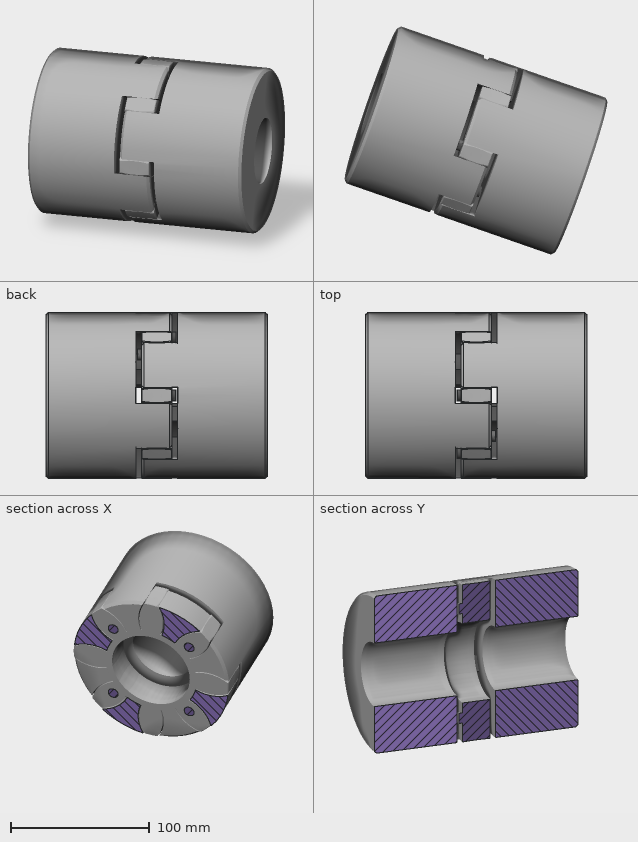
import cadquery as cq
import math

length = 160.0
outer_radius = 60.0
bore_radius = 24.0
edge_chamfer = 2.0

spider_width = 22.0
face_gap = 4.0
claws_per_hub = 4
claw_inner_radius = 35.2
spider_hole_radius = 30.0

flank_radius = 29.3
flank_distance = 44.6
arm_half_thickness = 10.0
crown = 0.8
arm_edge_chamfer = 0.5

knob_radius = 4.0
knob_distance = 41.6
knob_height = 2.7

half_length = length / 2
spider_face = spider_width / 2
hub_face = spider_face + face_gap
arm_count = 2 * claws_per_hub
arm_pitch = 360 / arm_count
claw_pitch = 360 / claws_per_hub
flank_offset = arm_half_thickness - flank_radius


def disc(radius, start_x, end_x):
    """Cylinder on the X axis between two X positions."""
    return cq.Workplane("YZ", origin=(start_x, 0, 0)).circle(radius).extrude(end_x - start_x)


def polar(radius, angle):
    """Point in the YZ plane, with the angle in degrees measured from +Y toward +Z."""
    turn = math.radians(angle)
    return (radius * math.cos(turn), radius * math.sin(turn))


def flank_angle(radius):
    """Angle between an arm's centre line and the point of its side at the given radius."""
    centre_distance = math.hypot(flank_distance, flank_offset)
    centre_angle = math.atan2(flank_offset, flank_distance)
    cosine = (radius**2 + centre_distance**2 - flank_radius**2) / (2 * radius * centre_distance)
    return math.degrees(centre_angle + math.acos(cosine))


def claw():
    """Claw between the arms at 0 and at one arm pitch, with hollow round sides."""
    middle_radius = (claw_inner_radius + outer_radius) / 2
    outer_angle = flank_angle(outer_radius)
    middle_angle = flank_angle(middle_radius)
    inner_angle = flank_angle(claw_inner_radius)
    return (
        cq.Workplane("YZ", origin=(-hub_face, 0, 0))
        .moveTo(*polar(outer_radius, outer_angle))
        .threePointArc(
            polar(outer_radius, arm_pitch / 2),
            polar(outer_radius, arm_pitch - outer_angle),
        )
        .threePointArc(
            polar(middle_radius, arm_pitch - middle_angle),
            polar(claw_inner_radius, arm_pitch - inner_angle),
        )
        .threePointArc(
            polar(claw_inner_radius, arm_pitch / 2),
            polar(claw_inner_radius, inner_angle),
        )
        .threePointArc(
            polar(middle_radius, middle_angle),
            polar(outer_radius, outer_angle),
        )
        .close()
        .extrude(hub_face + spider_face)
    )


def make_hub():
    """Hub on the -X side: a chamfered, bored cylinder cleared between its claws."""
    blank = disc(outer_radius, -half_length, spider_face).edges().chamfer(edge_chamfer)
    clearance = disc(outer_radius, -hub_face, spider_face)
    for index in range(claws_per_hub):
        clearance = clearance.cut(claw().rotate((0, 0, 0), (1, 0, 0), index * claw_pitch))
    bore = disc(bore_radius, -half_length, spider_face)
    return blank.cut(clearance).cut(bore)


def crowned_disc(offset):
    """Barrel-shaped disc whose round edge forms one side of the arm along +Y."""
    end_radius = flank_radius - crown
    return (
        cq.Workplane("XY")
        .moveTo(-spider_face, 0)
        .lineTo(-spider_face, end_radius)
        .threePointArc((0, flank_radius), (spider_face, end_radius))
        .lineTo(spider_face, 0)
        .close()
        .revolve(360, (0, 0, 0), (1, 0, 0))
        .translate((0, flank_distance, offset))
    )


def spider_arm():
    """Arm along +Y: the lens shared by two crowned discs, with its outer face chamfered."""
    lens = crowned_disc(flank_offset).intersect(crowned_disc(-flank_offset))
    sleeve = disc(outer_radius, -spider_face, spider_face).cut(
        disc(spider_hole_radius, -spider_face, spider_face)
    )
    return lens.intersect(sleeve).faces(">Y").chamfer(arm_edge_chamfer)


def make_spider():
    """Ring with crowned arms; the knobs alternate between the two end faces."""
    spider = disc(claw_inner_radius, -spider_face, spider_face).cut(
        disc(spider_hole_radius, -spider_face, spider_face)
    )
    arm = spider_arm()
    knob = disc(knob_radius, spider_face, spider_face + knob_height).translate((0, knob_distance, 0))
    for index in range(arm_count):
        angle = index * arm_pitch
        side_knob = knob.mirror("YZ") if index % 2 == 0 else knob
        spider = spider.union(arm.rotate((0, 0, 0), (1, 0, 0), angle))
        spider = spider.union(side_knob.rotate((0, 0, 0), (1, 0, 0), angle))
    return spider


left_hub = make_hub()
right_hub = left_hub.rotate((0, 0, 0), (0, 0, 1), 180)
spider = make_spider()

result = cq.Compound.makeCompound(
    [left_hub.solids().val(), right_hub.solids().val(), spider.solids().val()]
)